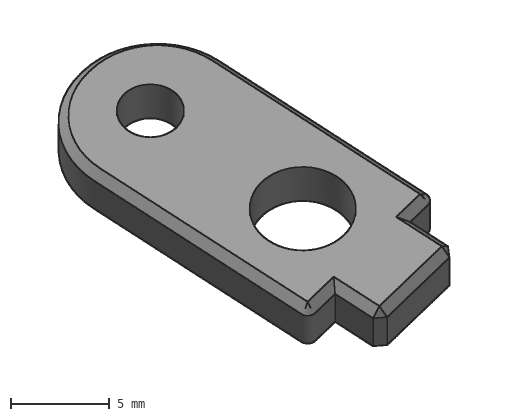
import cadquery as cq

length = 22.0
width = 10.0
thickness = 2.8

end_flat = 0.2
end_radius = (width - end_flat) / 2
shoulder_x = 19.0
tab_width = 6.0
tab_offset_y = 0.09

edge_chamfer = 0.5
shoulder_radius = edge_chamfer

small_hole_diameter = 3.4
small_hole_x = 4.5
large_hole_diameter = 5.4
large_hole_x = 14.5


def make_blank():
    """Plate and tab with the X = 0 end of the plate rounded."""
    plate = cq.Workplane("XY").box(shoulder_x, width, thickness, centered=(False, True, False))
    plate = plate.edges("|Z and <X").fillet(end_radius)
    tab_start = shoulder_x / 2
    tab = (
        cq.Workplane("XY")
        .box(length - tab_start, tab_width, thickness, centered=(False, True, False))
        .translate((tab_start, tab_offset_y, 0))
    )
    return plate.union(tab)


def chamfer_edges(blank):
    """Chamfer the top rim together with the tab's vertical corners, so they meet in flat facets."""
    top_rim = blank.faces(">Z").edges()
    tab_corners = blank.edges("|Z and >X")
    return blank.newObject(top_rim.vals() + tab_corners.vals()).chamfer(edge_chamfer)


def round_shoulder(body, side):
    """Round one vertical shoulder corner; its rim chamfer becomes part of a cone."""
    corner_block = cq.Workplane("XY").box(
        shoulder_radius, shoulder_radius, thickness, centered=False
    )
    profile = [
        (0, 0),
        (shoulder_radius, 0),
        (shoulder_radius, thickness - edge_chamfer),
        (0, thickness),
    ]
    rounded_core = (
        cq.Workplane("XZ").polyline(profile).close().revolve(360, (0, 0, 0), (0, 1, 0))
    )
    waste = corner_block.cut(rounded_core)
    if side < 0:
        waste = waste.mirror("XZ")
    corner_y = side * (width / 2 - shoulder_radius)
    return body.cut(waste.translate((shoulder_x - shoulder_radius, corner_y, 0)))


def drill(body, x, diameter):
    """Drill a through hole on the centre line."""
    cutter = cq.Workplane("XY").center(x, 0).circle(diameter / 2).extrude(thickness)
    return body.cut(cutter)


body = chamfer_edges(make_blank())
for side in (-1, 1):
    body = round_shoulder(body, side)
body = drill(body, small_hole_x, small_hole_diameter)
result = drill(body, large_hole_x, large_hole_diameter)